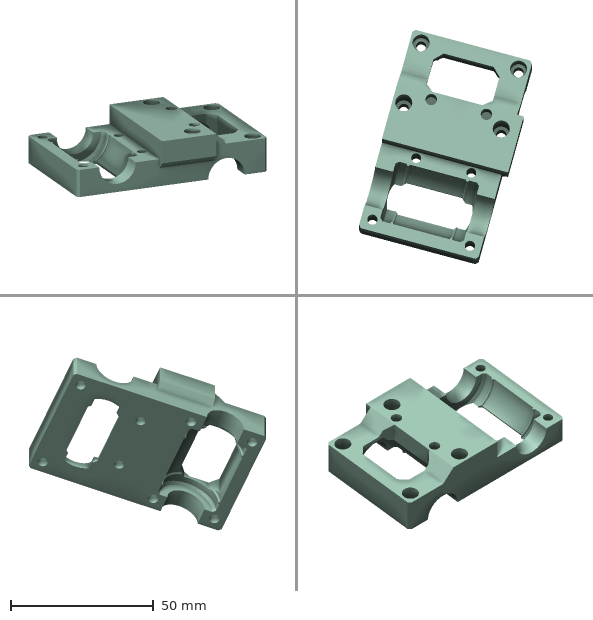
import cadquery as cq

base_width = 43.4
body_length = 72.75
front_height = 10.0
rear_height = 12.4
block_height = 17.25
corner_chamfer = 0.95
x_mid = base_width / 2

block_front_y = 31.35
block_rear_y = 52.1
overhang = 2.4
overhang_bottom_z = 6.7

front_axis_y = 15.35
rear_axis_y = 57.05
rod_radius = 7.0
pocket_radius = 11.0
pocket_length = 30.35
pocket_chamfer = 1.0
rib_radius = 10.4
rib_width = 0.95
rib_chamfer = 0.255
rib_offset = 10.8

window_width = 23.95
front_window_length = 11.7
front_window_y = 15.65
front_window_chamfer = 1.9
rear_window_length = 15.05
rear_window_y = 59.65
rear_window_chamfer = 2.9

screw_inset = 4.0
screw_diameter = 3.6
head_diameter = 6.0
head_floor_z = 6.0
block_screw_y = 45.7

pair_spacing = 20.0
pair_mid_x = 23.0
small_hole_diameter = 3.4
small_hole_y = 29.2
blind_hole_diameter = 4.0
blind_hole_depth = 5.8
blind_hole_y = 49.3


def make_body():
    slope_length = block_height - rear_height
    side_profile = [
        (0, 0),
        (body_length, 0),
        (body_length, rear_height),
        (block_rear_y + slope_length, rear_height),
        (block_rear_y, block_height),
        (block_front_y, block_height),
        (block_front_y, front_height),
        (0, front_height),
    ]
    base = cq.Workplane("YZ").polyline(side_profile).close().extrude(base_width)
    base = base.faces("<Y or >Y").edges("|Z").chamfer(corner_chamfer)

    ledge_profile = [
        (x_mid, overhang_bottom_z),
        (base_width, overhang_bottom_z),
        (base_width + overhang, overhang_bottom_z + overhang),
        (base_width + overhang, block_height),
        (x_mid, block_height),
    ]
    ledge = cq.Workplane("XZ", origin=(0, block_front_y, 0)).polyline(ledge_profile).close()
    return base.union(ledge.extrude(block_front_y - block_rear_y))


def x_cylinder(radius, length, axis_y, axis_z, center_x=x_mid):
    start = (center_x - length / 2, axis_y, axis_z)
    return cq.Workplane("YZ", origin=start).circle(radius).extrude(length)


def make_seat(axis_y, axis_z):
    """Rod groove along X with a wider ribbed pocket in the middle."""
    pocket = x_cylinder(pocket_radius, pocket_length, axis_y, axis_z)
    pocket = pocket.edges().chamfer(pocket_chamfer)
    for side in (-1, 1):
        rib_x = x_mid + side * rib_offset
        rib = x_cylinder(pocket_radius, rib_width, axis_y, axis_z, rib_x)
        rib = rib.cut(x_cylinder(rib_radius, rib_width, axis_y, axis_z, rib_x))
        rib = rib.edges(cq.selectors.RadiusNthSelector(0)).chamfer(rib_chamfer)
        pocket = pocket.cut(rib)
    return pocket.union(x_cylinder(rod_radius, base_width, axis_y, axis_z))


def make_window(length, center_y, chamfer, height):
    window = cq.Workplane("XY", origin=(x_mid, center_y, 0)).rect(window_width, length)
    return window.extrude(height).edges("|Z").chamfer(chamfer)


def holes(points, diameter, bottom_z):
    cutters = cq.Workplane("XY", origin=(0, 0, bottom_z)).pushPoints(points)
    return cutters.circle(diameter / 2).extrude(block_height - bottom_z)


def screw_row(y):
    return [(screw_inset, y), (base_width - screw_inset, y)]


def pair_row(y):
    return [(pair_mid_x + side * pair_spacing / 2, y) for side in (-1, 1)]


result = make_body()

result = result.cut(make_seat(front_axis_y, front_height))
result = result.cut(make_seat(rear_axis_y, 0))
result = result.cut(make_window(front_window_length, front_window_y, front_window_chamfer, front_height))
result = result.cut(make_window(rear_window_length, rear_window_y, rear_window_chamfer, block_height))

headed_screws = screw_row(block_screw_y) + screw_row(body_length - screw_inset)
all_screws = screw_row(screw_inset) + headed_screws
result = result.cut(holes(all_screws, screw_diameter, 0))
result = result.cut(holes(headed_screws, head_diameter, head_floor_z))

result = result.cut(holes(pair_row(small_hole_y), small_hole_diameter, 0))
result = result.cut(holes(pair_row(blind_hole_y), blind_hole_diameter, block_height - blind_hole_depth))